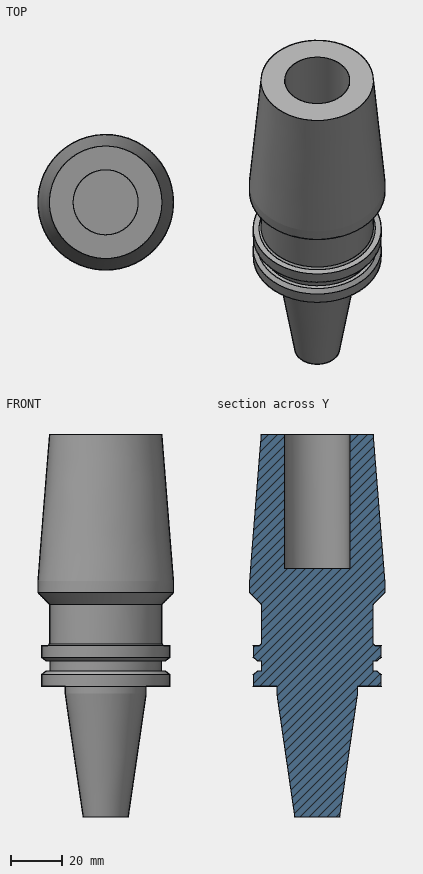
import cadquery as cq

total_height = 149.4
gauge_radius = 15.8
shank_taper = 7 / 24
taper_length = 48.1
shank_end_radius = gauge_radius - taper_length * shank_taper / 2

flange_radius = 25.02
flange_bottom = 51.1
flange_rim_height = 4.6
flange_top = 67.0
groove_radius = 21.8
groove_mouth_radius = 23.3
rim_chamfer_height = 1.3
lower_rim_top = flange_bottom + flange_rim_height
groove_bottom = lower_rim_top + rim_chamfer_height
upper_rim_bottom = flange_top - flange_rim_height
groove_top = upper_rim_bottom - rim_chamfer_height

neck_radius = 22.0
neck_foot = 0.7
neck_top = 83.0

nose_radius = 26.52
shoulder_height = nose_radius - neck_radius
nose_band_bottom = neck_top + shoulder_height
nose_band_height = 4.5
nose_band_top = nose_band_bottom + nose_band_height
nose_tip_radius = 22.0
bore_diameter = 25.4
bore_depth = 52.3


def holder_body():
    """Revolve the outer half profile, given as (radius, height) points."""
    shank = [
        (0, 0),
        (shank_end_radius, 0),
        (gauge_radius, taper_length),
        (gauge_radius, flange_bottom),
    ]
    flange = [
        (flange_radius, flange_bottom),
        (flange_radius, lower_rim_top),
        (groove_mouth_radius, groove_bottom),
        (groove_radius, groove_bottom),
        (groove_radius, groove_top),
        (groove_mouth_radius, groove_top),
        (flange_radius, upper_rim_bottom),
        (flange_radius, flange_top),
    ]
    neck = [
        (neck_radius + neck_foot, flange_top),
        (neck_radius, flange_top + neck_foot),
        (neck_radius, neck_top),
    ]
    nose = [
        (nose_radius, nose_band_bottom),
        (nose_radius, nose_band_top),
        (nose_tip_radius, total_height),
        (0, total_height),
    ]
    profile = cq.Workplane("XZ").polyline(shank + flange + neck + nose).close()
    return profile.revolve(360, (0, 0, 0), (0, 1, 0))


def tool_bore():
    """Cylinder removed from the nose to receive the tool."""
    bore_floor = cq.Workplane("XY").workplane(offset=total_height - bore_depth)
    return bore_floor.circle(bore_diameter / 2).extrude(bore_depth)


result = holder_body().cut(tool_bore())